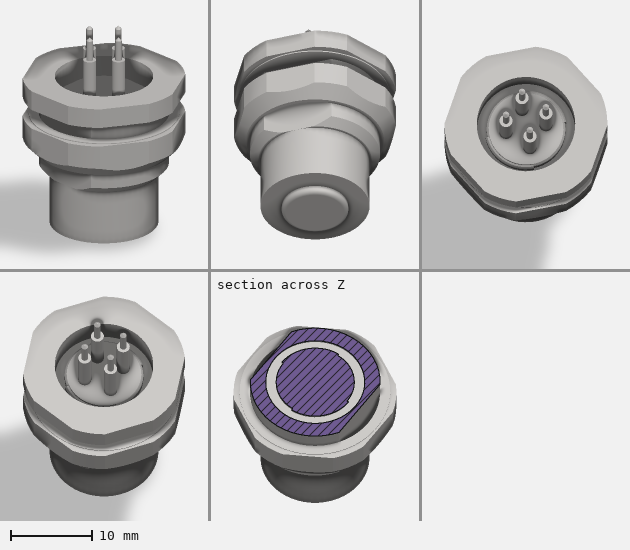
import cadquery as cq
import math

COLLAR_BOTTOM = 1.0
THREAD_BOTTOM = 8.0
NUT_BOTTOM = 11.0
NUT_TOP = 15.5
FLANGE_BOTTOM = 18.0
FLANGE_TOP = 20.5
PIN_SHOULDER = 23.5
PIN_TOP = 26.5

HEX_SIDES = 6
HEX_ACROSS_FLATS = 19.0
HEX_CORNER_RADIUS = 10.0
NUT_CHAMFER = 1.5
BEARING_RADIUS = 9.25
NUT_BEARING_HEIGHT = 0.1
FLANGE_BEARING_HEIGHT = 0.15

THREAD_RADIUS = 8.0
THREAD_CHAMFER = 1.0
COLLAR_RADIUS = 6.7
FLAT_DISTANCE = COLLAR_RADIUS

NOSE_RADIUS = 4.1
NOSE_FILLET = 0.5
RECESS_RADIUS = 6.05
RECESS_DEPTH = 3.0
DISC_HEIGHT = 1.0
DISC_TOP_RADIUS = 4.58
DISC_RADIUS = 4.83
LEDGE_OUTER_RADIUS = 5.05

PIN_COUNT = 4
PIN_CIRCLE_RADIUS = 2.5
PIN_RADIUS = 0.8
PIN_TIP_RADIUS = 0.4
PIN_POINT_HEIGHT = PIN_TIP_RADIUS

RECESS_FLOOR = FLANGE_TOP - RECESS_DEPTH
DISC_TOP = RECESS_FLOOR + DISC_HEIGHT


def cylinder(radius, bottom, top):
    return cq.Workplane("XY").workplane(offset=bottom).circle(radius).extrude(top - bottom)


def rounded_hexagon(bottom, top, chamfer=0):
    """Hexagonal prism with flats facing Y, cut by a cylinder chamfered at its lower edge."""
    corner_diameter = HEX_ACROSS_FLATS / math.cos(math.pi / HEX_SIDES)
    prism = (
        cq.Workplane("XY")
        .workplane(offset=bottom)
        .polygon(HEX_SIDES, corner_diameter)
        .extrude(top - bottom)
    )
    envelope = cylinder(HEX_CORNER_RADIUS, bottom, top)
    if chamfer:
        envelope = envelope.faces("<Z").chamfer(chamfer)
    return prism.intersect(envelope)


def make_flange():
    bearing = cylinder(BEARING_RADIUS, FLANGE_BOTTOM - FLANGE_BEARING_HEIGHT, FLANGE_BOTTOM)
    return rounded_hexagon(FLANGE_BOTTOM, FLANGE_TOP).union(bearing)


def make_nut():
    """Ring nut; its round bore leaves a gap at the two flats of the threaded body."""
    bearing = cylinder(BEARING_RADIUS, NUT_TOP, NUT_TOP + NUT_BEARING_HEIGHT)
    bore = cylinder(THREAD_RADIUS, NUT_BOTTOM, NUT_TOP + NUT_BEARING_HEIGHT)
    return rounded_hexagon(NUT_BOTTOM, NUT_TOP, NUT_CHAMFER).union(bearing).cut(bore)


def make_threaded_body():
    """Round body with a chamfered lower end and a flat on each Y side."""
    height = FLANGE_BOTTOM - THREAD_BOTTOM
    flats = (
        cq.Workplane("XY")
        .workplane(offset=THREAD_BOTTOM)
        .rect(2 * THREAD_RADIUS, 2 * FLAT_DISTANCE)
        .extrude(height)
    )
    body = cylinder(THREAD_RADIUS, THREAD_BOTTOM, FLANGE_BOTTOM).faces("<Z").chamfer(THREAD_CHAMFER)
    collar = cylinder(COLLAR_RADIUS, COLLAR_BOTTOM, THREAD_BOTTOM)
    return body.intersect(flats).union(collar)


def make_nose():
    return cylinder(NOSE_RADIUS, 0, COLLAR_BOTTOM).faces("<Z").edges().fillet(NOSE_FILLET)


def make_disc():
    """Raised disc with a chamfered rim; two opposite quarters carry a ledge with a sloped edge."""
    rim = DISC_RADIUS - DISC_TOP_RADIUS
    ledge_height = DISC_TOP - rim
    slope = LEDGE_OUTER_RADIUS - DISC_RADIUS
    disc = cylinder(DISC_RADIUS, RECESS_FLOOR, DISC_TOP).faces(">Z").chamfer(rim)
    ledged_disc = (
        cq.Workplane("XZ")
        .moveTo(0, RECESS_FLOOR)
        .lineTo(LEDGE_OUTER_RADIUS, RECESS_FLOOR)
        .lineTo(LEDGE_OUTER_RADIUS, ledge_height - slope)
        .lineTo(DISC_RADIUS, ledge_height)
        .lineTo(DISC_TOP_RADIUS, ledge_height)
        .lineTo(DISC_TOP_RADIUS, DISC_TOP)
        .lineTo(0, DISC_TOP)
        .close()
        .revolve(360, (0, 0, 0), (0, 1, 0))
    )
    quarter_box = (
        cq.Workplane("XY")
        .workplane(offset=RECESS_FLOOR)
        .rect(LEDGE_OUTER_RADIUS, LEDGE_OUTER_RADIUS, centered=False)
        .extrude(DISC_HEIGHT)
    )
    ledge_quarter = ledged_disc.intersect(quarter_box)
    for angle in (0, 180):
        axis_end = (0, 0, 1)
        disc = disc.cut(quarter_box.rotate((0, 0, 0), axis_end, angle))
        disc = disc.union(ledge_quarter.rotate((0, 0, 0), axis_end, angle))
    return disc


def make_pins():
    pin = cylinder(PIN_RADIUS, RECESS_FLOOR, PIN_SHOULDER)
    point_base = PIN_TOP - PIN_POINT_HEIGHT
    tip = (
        cq.Workplane("XZ")
        .moveTo(0, PIN_SHOULDER)
        .lineTo(PIN_TIP_RADIUS, PIN_SHOULDER)
        .lineTo(PIN_TIP_RADIUS, point_base)
        .lineTo(0, PIN_TOP)
        .close()
        .revolve(360, (0, 0, 0), (0, 1, 0))
    )
    pin = pin.union(tip).translate((PIN_CIRCLE_RADIUS, 0, 0))
    pins = pin
    for index in range(1, PIN_COUNT):
        pins = pins.union(pin.rotate((0, 0, 0), (0, 0, 1), index * 360 / PIN_COUNT))
    return pins


housing = make_threaded_body().union(make_flange()).union(make_nut()).union(make_nose())
recess = cylinder(RECESS_RADIUS, RECESS_FLOOR, FLANGE_TOP)
result = housing.cut(recess).union(make_disc()).union(make_pins())